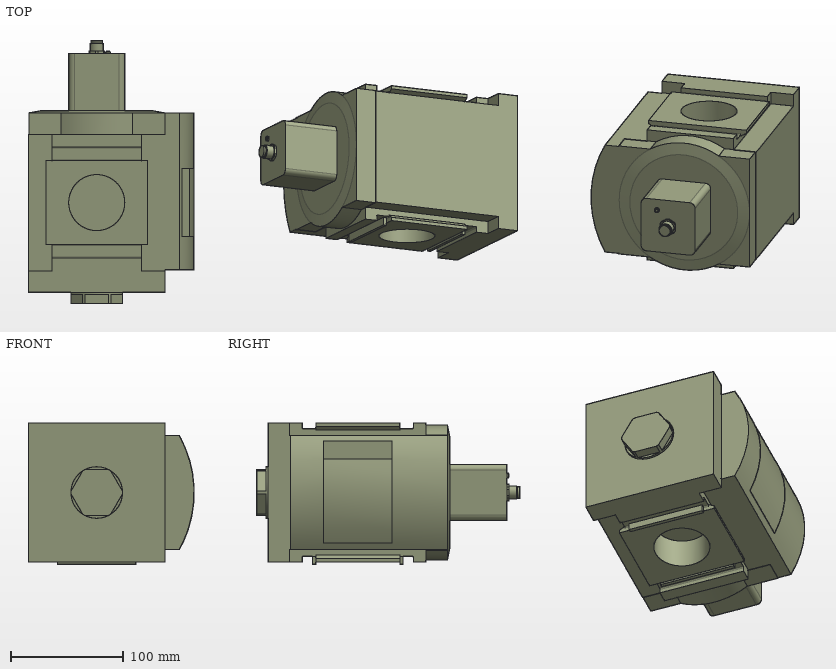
import cadquery as cq
import math

BODY_WIDTH = 122.0
BODY_HEIGHT = 124.0
HALF_WIDTH = BODY_WIDTH / 2
HALF_HEIGHT = BODY_HEIGHT / 2
FRONT_Y = -80.0
REAR_Y = 80.0
CORE_HALF_LENGTH = 60.8
CORE_HALF_HEIGHT = 51.0

RAIL_HALF_WIDTH = 40.0
GROOVE_INNER_Y = 37.5
GROOVE_OUTER_Y = 49.5
GROOVE_DEPTH = 5.0
GROOVE_FLOOR_Z = HALF_HEIGHT - GROOVE_DEPTH
GROOVE_FOOT_RADIUS = 0.9

PAD_HALF_WIDTH = 45.3
PAD_EDGE_THICKNESS = 3.0
PAD_THICKNESS = 6.2
PORT_DIAMETER = 50.0
PORT_DEPTH = 30.0

CLIP_LENGTH = 70.0
CLIP_THICKNESS = 3.0
CLIP_PROTRUSION = 2.0

FLANGE_RADIUS = 60.5
FLANGE_HALF_HEIGHT = 51.5
CAP_HEIGHT = 2.0
CAP_TOP_RADIUS = 50.0

HOUSING_SIZE = 50.0
HOUSING_CORNER_RADIUS = 5.0
HOUSING_END_Y = 133.0
NUT_DIAMETER = 15.0
NUT_ACROSS_FLATS = 14.0
NUT_THICKNESS = 2.0
CONNECTOR_DIAMETER = 12.0
CONNECTOR_SHOULDER_Y = 141.7
CONNECTOR_NECK_DIAMETER = 9.5
CONNECTOR_NECK_LENGTH = 0.7
CONNECTOR_TIP_DIAMETER = 10.5
CONNECTOR_END_Y = 144.5
LAMP_X = 10.2
LAMP_Z = 15.0
LAMP_BASE_DIAMETER = 4.4
LAMP_TIP_DIAMETER = 2.7
LAMP_BASE_HEIGHT = 1.3
LAMP_HEIGHT = 2.0

COVER_FRONT_Y = -60.0
COVER_EDGE_X = 73.6
COVER_CROWN_X = 86.7
RECESS_FLOOR_X = 76.1
RECESS_HALF_LENGTH = 30.4
LID_TOP_Z = 29.7
LID_BOTTOM_Z = -45.0
LID_PROUD = 0.3

PLUG_DIAMETER = 46.0
PLUG_ACROSS_FLATS = 41.0
PLUG_COLLAR_THICKNESS = 2.0
PLUG_END_Y = -90.2


def box(x_range, y_range, z_range):
    """Box between the given limits on each axis."""
    size = [high - low for low, high in (x_range, y_range, z_range)]
    corner = (x_range[0], y_range[0], z_range[0])
    return cq.Workplane("XY").box(*size, centered=False).translate(corner)


def cylinder_y(diameter, start_y, end_y):
    """Cylinder along the Y axis."""
    disc = cq.Workplane("XZ").circle(diameter / 2)
    return disc.extrude(start_y - end_y).translate((0, start_y, 0))


def hexagon_y(across_flats, corner_diameter, start_y, end_y, turn=0):
    """Hexagonal prism along Y with its corners rounded off to a given diameter."""
    across_corners = across_flats / math.cos(math.pi / 6)
    prism = cq.Workplane("XZ").polygon(6, across_corners).extrude(start_y - end_y)
    prism = prism.rotate((0, 0, 0), (0, 1, 0), turn).translate((0, start_y, 0))
    return prism.intersect(cylinder_y(corner_diameter, start_y, end_y))


def make_core():
    """Front plate and narrower central block."""
    plate = box(
        (-HALF_WIDTH, HALF_WIDTH),
        (FRONT_Y, -CORE_HALF_LENGTH),
        (-HALF_HEIGHT, HALF_HEIGHT),
    )
    core = box(
        (-HALF_WIDTH, HALF_WIDTH),
        (-CORE_HALF_LENGTH, CORE_HALF_LENGTH),
        (-CORE_HALF_HEIGHT, CORE_HALF_HEIGHT),
    )
    return plate.union(core)


def make_port_side():
    """Grooved rail and dovetail port pad of the upper face."""
    rail = box(
        (-RAIL_HALF_WIDTH, RAIL_HALF_WIDTH),
        (-CORE_HALF_LENGTH, CORE_HALF_LENGTH),
        (CORE_HALF_HEIGHT, HALF_HEIGHT),
    )
    for side in (-1, 1):
        groove = box(
            (-RAIL_HALF_WIDTH, RAIL_HALF_WIDTH),
            sorted((side * GROOVE_INNER_Y, side * GROOVE_OUTER_Y)),
            (GROOVE_FLOOR_Z, HALF_HEIGHT),
        )
        rail = rail.cut(groove.edges("|X and <Z").fillet(GROOVE_FOOT_RADIUS))

    edge_z = HALF_HEIGHT - PAD_EDGE_THICKNESS
    bottom_z = HALF_HEIGHT - PAD_THICKNESS
    pad = (
        cq.Workplane("XZ")
        .moveTo(-PAD_HALF_WIDTH, HALF_HEIGHT)
        .lineTo(PAD_HALF_WIDTH, HALF_HEIGHT)
        .lineTo(PAD_HALF_WIDTH, edge_z)
        .lineTo(RAIL_HALF_WIDTH, bottom_z)
        .lineTo(-RAIL_HALF_WIDTH, bottom_z)
        .lineTo(-PAD_HALF_WIDTH, edge_z)
        .close()
        .extrude(GROOVE_INNER_Y, both=True)
    )
    return rail.union(pad)


def make_port_bore():
    """Blind bore entering from the upper face."""
    floor = cq.Workplane("XY").workplane(offset=HALF_HEIGHT - PORT_DEPTH)
    return floor.circle(PORT_DIAMETER / 2).extrude(PORT_DEPTH)


def make_clip(side):
    """Clip strip beside the lower pad, standing out below the body."""
    return box(
        (-CLIP_LENGTH / 2, CLIP_LENGTH / 2),
        sorted((side * GROOVE_INNER_Y, side * (GROOVE_INNER_Y + CLIP_THICKNESS))),
        (-HALF_HEIGHT - CLIP_PROTRUSION, -GROOVE_FLOOR_Z),
    )


def make_rear_flange():
    """Square-and-round flange with its bevelled cap."""
    block = box(
        (-FLANGE_RADIUS, HALF_WIDTH),
        (CORE_HALF_LENGTH, REAR_Y),
        (-FLANGE_HALF_HEIGHT, FLANGE_HALF_HEIGHT),
    )
    disc = cylinder_y(2 * FLANGE_RADIUS, CORE_HALF_LENGTH, REAR_Y)
    cap = (
        cq.Workplane("XY")
        .moveTo(0, REAR_Y)
        .lineTo(FLANGE_RADIUS, REAR_Y)
        .lineTo(CAP_TOP_RADIUS, REAR_Y + CAP_HEIGHT)
        .lineTo(0, REAR_Y + CAP_HEIGHT)
        .close()
        .revolve(360, (0, 0, 0), (0, 1, 0))
    )
    return block.union(disc).union(cap)


def make_solenoid():
    """Rounded housing with connector and indicator lamp on its end."""
    half = HOUSING_SIZE / 2
    housing = box((-half, half), (REAR_Y, HOUSING_END_Y), (-half, half))
    housing = housing.edges("|Y").fillet(HOUSING_CORNER_RADIUS)

    neck_end_y = CONNECTOR_SHOULDER_Y + CONNECTOR_NECK_LENGTH
    nut_end_y = HOUSING_END_Y + NUT_THICKNESS
    nut = hexagon_y(NUT_ACROSS_FLATS, NUT_DIAMETER, HOUSING_END_Y, nut_end_y, turn=30)
    barrel = cylinder_y(CONNECTOR_DIAMETER, HOUSING_END_Y, CONNECTOR_SHOULDER_Y)
    neck = cylinder_y(CONNECTOR_NECK_DIAMETER, CONNECTOR_SHOULDER_Y, neck_end_y)
    tip = cylinder_y(CONNECTOR_TIP_DIAMETER, neck_end_y, CONNECTOR_END_Y)

    lamp_base_y = HOUSING_END_Y + LAMP_BASE_HEIGHT
    lamp = cylinder_y(LAMP_BASE_DIAMETER, HOUSING_END_Y, lamp_base_y)
    lamp = lamp.union(cylinder_y(LAMP_TIP_DIAMETER, lamp_base_y, HOUSING_END_Y + LAMP_HEIGHT))
    lamp = lamp.translate((LAMP_X, 0, LAMP_Z))

    solenoid = housing
    for piece in (nut, barrel, neck, tip, lamp):
        solenoid = solenoid.union(piece)
    return solenoid


def make_crowned_block(front_y, rear_y, proud=0.0):
    """Block beside the body whose outer side is a shallow arc."""
    edge_x = COVER_EDGE_X + proud
    profile = (
        cq.Workplane("XZ")
        .moveTo(HALF_WIDTH, -CORE_HALF_HEIGHT)
        .lineTo(edge_x, -CORE_HALF_HEIGHT)
        .threePointArc((COVER_CROWN_X + proud, 0), (edge_x, CORE_HALF_HEIGHT))
        .lineTo(HALF_WIDTH, CORE_HALF_HEIGHT)
        .close()
    )
    return profile.extrude(front_y - rear_y).translate((0, front_y, 0))


def make_side_cover():
    """Curved cover with a recess left open above the lid."""
    lid_y = (-RECESS_HALF_LENGTH, RECESS_HALF_LENGTH)
    beyond_crown_x = COVER_CROWN_X + 2 * LID_PROUD
    recess = box(
        (RECESS_FLOOR_X, beyond_crown_x),
        lid_y,
        (LID_BOTTOM_Z, CORE_HALF_HEIGHT),
    )
    lid_zone = box((RECESS_FLOOR_X, beyond_crown_x), lid_y, (LID_BOTTOM_Z, LID_TOP_Z))
    lid = make_crowned_block(*lid_y, proud=LID_PROUD).intersect(lid_zone)
    return make_crowned_block(COVER_FRONT_Y, REAR_Y).cut(recess).union(lid)


def make_plug():
    """Hexagonal screw plug on a round collar."""
    collar_y = FRONT_Y - PLUG_COLLAR_THICKNESS
    collar = cylinder_y(PLUG_DIAMETER, collar_y, FRONT_Y)
    head = hexagon_y(PLUG_ACROSS_FLATS, PLUG_DIAMETER, PLUG_END_Y, collar_y)
    return collar.union(head)


port_side = make_port_side()
port_bore = make_port_bore()

result = make_core().union(make_rear_flange())
result = result.union(port_side).union(port_side.mirror("XY"))
for clip_side in (-1, 1):
    result = result.union(make_clip(clip_side))
result = result.cut(port_bore).cut(port_bore.mirror("XY"))
for attachment in (make_side_cover(), make_solenoid(), make_plug()):
    result = result.union(attachment)